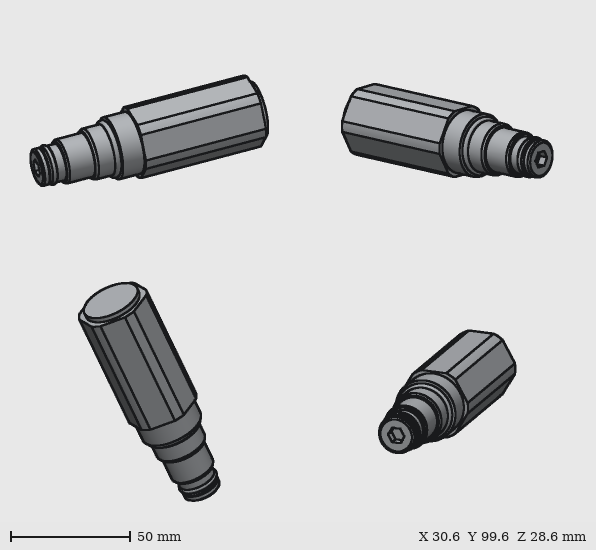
import cadquery as cq
import math

LENGTH = 99.6

HEX_START = 43.2
HEX_ACROSS_FLATS = 28.6
HEX_CORNER_RADIUS = 15.3
CAP_LENGTH = 2.2
CAP_RADIUS = 12.3
HEX_END = LENGTH - CAP_LENGTH

NOSE_RADIUS = 8.0
NOSE_FACE_RADIUS = 7.1
NOSE_CHAMFER_LENGTH = 0.7
MIDDLE_START = 10.3
MIDDLE_RADIUS = 9.6
MIDDLE_FACE_RADIUS = 9.0
MIDDLE_CHAMFER_LENGTH = 1.0
SHOULDER_START = 22.5
SHOULDER_RADIUS = 11.1
SHOULDER_FACE_RADIUS = 10.4
SHOULDER_CHAMFER_LENGTH = 1.2
COLLAR_START = 33.7
COLLAR_RADIUS = 13.5

COLLAR_SEAL_OUTER_RADIUS = 12.5
COLLAR_SEAL_SECTION_RADIUS = 1.3
COLLAR_SEAL_STATION = COLLAR_START - COLLAR_SEAL_SECTION_RADIUS
COLLAR_GROOVE_START = COLLAR_START - 2 * COLLAR_SEAL_SECTION_RADIUS
COLLAR_GROOVE_RADIUS = COLLAR_SEAL_OUTER_RADIUS - 2 * COLLAR_SEAL_SECTION_RADIUS

NOSE_GROOVE_START = 2.7
NOSE_GROOVE_END = 6.4
BACKUP_RING_START = 3.1
BACKUP_RING_WIDTH = 1.2
NOSE_SEAL_OUTER_RADIUS = 8.6
NOSE_SEAL_SECTION_RADIUS = 1.0
NOSE_SEAL_STATION = BACKUP_RING_START + BACKUP_RING_WIDTH + NOSE_SEAL_SECTION_RADIUS
NOSE_GROOVE_RADIUS = NOSE_SEAL_OUTER_RADIUS - 2 * NOSE_SEAL_SECTION_RADIUS

SOCKET_ACROSS_FLATS = 6.4
SOCKET_DEPTH = 4.0


def plane_at(station):
    """Plane across the axis at a station, with its normal toward +Y and local X along -X."""
    return cq.Workplane(
        cq.Plane(origin=(0, station - LENGTH / 2, 0), xDir=(-1, 0, 0), normal=(0, 1, 0))
    )


def cylinder(start, end, radius):
    return plane_at(start).circle(radius).extrude(end - start)


def ring(start, end, outer_radius, inner_radius):
    return plane_at(start).circle(outer_radius).circle(inner_radius).extrude(end - start)


def hex_prism(start, end, across_flats):
    """Hexagonal prism with corners on +X and -X and flats facing +Z and -Z."""
    across_corners = across_flats / math.cos(math.pi / 6)
    return plane_at(start).polygon(6, across_corners).extrude(end - start)


def chamfered_step(start, end, radius, face_radius, chamfer_length):
    """Cylinder whose nose-side edge tapers down to face_radius."""
    nose_y = start - LENGTH / 2
    end_y = end - LENGTH / 2
    profile = [
        (0, nose_y),
        (face_radius, nose_y),
        (radius, nose_y + chamfer_length),
        (radius, end_y),
        (0, end_y),
    ]
    return cq.Workplane("XY").polyline(profile).close().revolve(360, (0, 0, 0), (0, 1, 0))


def make_body():
    nose = chamfered_step(0, MIDDLE_START, NOSE_RADIUS, NOSE_FACE_RADIUS, NOSE_CHAMFER_LENGTH)
    middle = chamfered_step(
        MIDDLE_START, SHOULDER_START, MIDDLE_RADIUS, MIDDLE_FACE_RADIUS, MIDDLE_CHAMFER_LENGTH
    )
    shoulder = chamfered_step(
        SHOULDER_START, COLLAR_START, SHOULDER_RADIUS, SHOULDER_FACE_RADIUS, SHOULDER_CHAMFER_LENGTH
    )
    collar = cylinder(COLLAR_START, HEX_START, COLLAR_RADIUS)
    corner_rounding = cylinder(HEX_START, HEX_END, HEX_CORNER_RADIUS)
    grip = hex_prism(HEX_START, HEX_END, HEX_ACROSS_FLATS).intersect(corner_rounding)
    cap = cylinder(HEX_END, LENGTH, CAP_RADIUS)
    body = nose.union(middle).union(shoulder).union(collar).union(grip).union(cap)

    nose_groove = ring(NOSE_GROOVE_START, NOSE_GROOVE_END, NOSE_RADIUS, NOSE_GROOVE_RADIUS)
    collar_groove = ring(COLLAR_GROOVE_START, COLLAR_START, SHOULDER_RADIUS, COLLAR_GROOVE_RADIUS)
    socket = hex_prism(0, SOCKET_DEPTH, SOCKET_ACROSS_FLATS)
    return body.cut(nose_groove).cut(collar_groove).cut(socket)


def make_o_ring(station, outer_radius, section_radius):
    return (
        cq.Workplane("XY")
        .center(outer_radius - section_radius, station - LENGTH / 2)
        .circle(section_radius)
        .revolve(360, (section_radius - outer_radius, 0, 0), (section_radius - outer_radius, 1, 0))
    )


def make_backup_ring():
    end = BACKUP_RING_START + BACKUP_RING_WIDTH
    return ring(BACKUP_RING_START, end, NOSE_RADIUS, NOSE_GROOVE_RADIUS)


body = make_body()
o_rings = [
    make_o_ring(station, outer_radius, section_radius)
    for station, outer_radius, section_radius in (
        (COLLAR_SEAL_STATION, COLLAR_SEAL_OUTER_RADIUS, COLLAR_SEAL_SECTION_RADIUS),
        (NOSE_SEAL_STATION, NOSE_SEAL_OUTER_RADIUS, NOSE_SEAL_SECTION_RADIUS),
    )
]
backup_ring = make_backup_ring()

result = cq.Compound.makeCompound(
    [body.val(), *[o_ring.val() for o_ring in o_rings], backup_ring.val()]
)